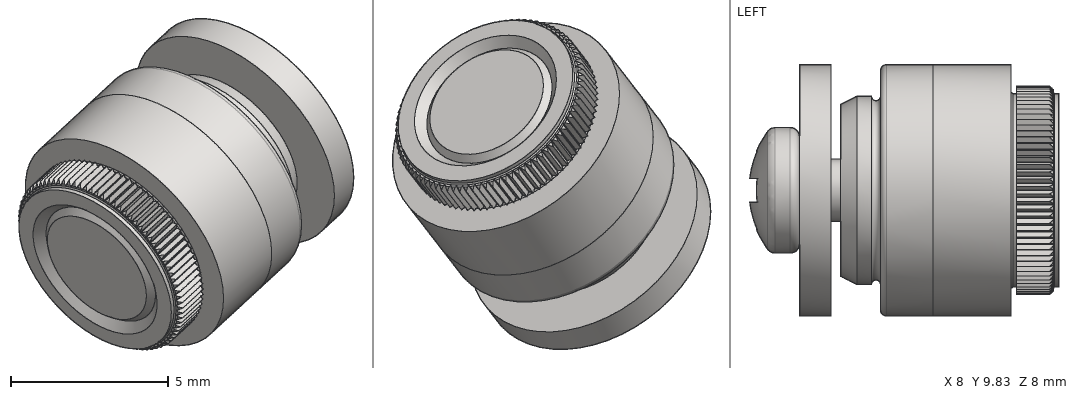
import cadquery as cq
import math

overall_length = 9.83
flange_diameter = 8.0
flange_radius = flange_diameter / 2

lip_end = 0.14
knurl_start = 0.18
knurl_end = 1.35
neck_end = 1.46
sleeve_start = 1.51
flange_start = 4.0
flange_end = 5.67
collar_start = 5.96
collar_taper_start = 6.42
collar_end = 6.94

neck_radius = 6.15 / 2
neck_flare = 0.05
collar_radius = 6.0 / 2
collar_tip_radius = 2.73
flange_fillet = 0.2

tooth_count = 88
knurl_radius = 6.64 / 2
tooth_height = 0.16
tooth_base_width = 0.21
knurl_chamfer = 0.12

countersink_radius = 5.0 / 2
countersink_depth = 0.29
bore_radius = countersink_radius - countersink_depth
insert_tip_radius = 4.0 / 2
insert_tip = countersink_depth - (bore_radius - insert_tip_radius)

shank_radius = 2.0 / 2
shank_engagement = 2 * shank_radius
head_radius = 4.0 / 2
head_side_height = 0.92
dome_rise = 0.71
head_fillet = 0.3
slot_width = 0.75
slot_length = 2.5
slot_depth = 0.75
washer_thickness = 1.0

dome_radius = (head_radius**2 + dome_rise**2) / (2 * dome_rise)
slot_corner_radius = slot_width / math.sqrt(2)
apex_loss = dome_radius - math.sqrt(dome_radius**2 - slot_corner_radius**2)
head_height = head_side_height + dome_rise
head_seat = overall_length - head_height + apex_loss


def revolve_about_y(profile):
    """Turn a closed (radius, y) profile about the Y axis."""
    return profile.close().revolve(360, (0, 0, 0), (0, 1, 0))


def cylinder_along_y(radius, start, end):
    return cq.Workplane("XZ", origin=(0, start, 0)).circle(radius).extrude(start - end)


def make_knurl():
    """Toothed ring around the neck, chamfered at its front end."""
    pitch_angle = 2 * math.pi / tooth_count
    root_radius = knurl_radius - tooth_height
    half_base_angle = math.asin(tooth_base_width / 2 / root_radius)
    outline = []
    for tooth in range(tooth_count):
        crest_angle = (tooth + 0.5) * pitch_angle
        for radius, angle in (
            (root_radius, crest_angle - half_base_angle),
            (knurl_radius, crest_angle),
            (root_radius, crest_angle + half_base_angle),
        ):
            outline.append((radius * math.cos(angle), radius * math.sin(angle)))
    toothed = (
        cq.Workplane("XZ", origin=(0, knurl_start, 0))
        .polyline(outline)
        .close()
        .extrude(knurl_start - knurl_end)
    )
    blank = cylinder_along_y(knurl_radius, knurl_start, knurl_end)
    chamfered_blank = blank.faces("<Y").chamfer(knurl_chamfer)
    bore = cylinder_along_y(neck_radius, knurl_start, knurl_end)
    return toothed.intersect(chamfered_blank).cut(bore)


def make_sleeve():
    """Knurled sleeve with a countersunk bore."""
    flare_radius = neck_radius + neck_flare
    turned = revolve_about_y(
        cq.Workplane("XY")
        .moveTo(bore_radius, countersink_depth)
        .lineTo(countersink_radius, 0)
        .lineTo(neck_radius, 0)
        .lineTo(neck_radius, lip_end)
        .lineTo(flare_radius, knurl_start)
        .lineTo(flare_radius, knurl_end)
        .lineTo(neck_radius, knurl_end)
        .lineTo(neck_radius, neck_end)
        .lineTo(flare_radius, sleeve_start)
        .lineTo(flange_radius, sleeve_start)
        .lineTo(flange_radius, flange_start)
        .lineTo(bore_radius, flange_start)
    )
    return turned.union(make_knurl())


def make_insert():
    """Chamfered stud filling the sleeve, with a flange, undercut and tapered collar behind it."""
    undercut_radius = (collar_start - flange_end) / 2
    undercut_bottom = (collar_radius - undercut_radius, flange_end + undercut_radius)
    turned = revolve_about_y(
        cq.Workplane("XY")
        .moveTo(0, insert_tip)
        .lineTo(insert_tip_radius, insert_tip)
        .lineTo(bore_radius, countersink_depth)
        .lineTo(bore_radius, flange_start)
        .lineTo(flange_radius, flange_start)
        .lineTo(flange_radius, flange_end - flange_fillet)
        .radiusArc((flange_radius - flange_fillet, flange_end), -flange_fillet)
        .lineTo(collar_radius, flange_end)
        .threePointArc(undercut_bottom, (collar_radius, collar_start))
        .lineTo(collar_radius, collar_taper_start)
        .lineTo(collar_tip_radius, collar_end)
        .lineTo(0, collar_end)
    )
    shank_hole = cylinder_along_y(shank_radius, collar_end - shank_engagement, collar_end)
    return turned.cut(shank_hole)


def make_screw_head():
    """Domed head with crossed slots."""
    apex = head_seat + head_height
    dome_edge = head_seat + head_side_height
    mid_radius = head_radius / 2
    mid_height = apex - dome_radius + math.sqrt(dome_radius**2 - mid_radius**2)
    head = revolve_about_y(
        cq.Workplane("XY")
        .moveTo(0, head_seat)
        .lineTo(head_radius, head_seat)
        .lineTo(head_radius, dome_edge)
        .threePointArc((mid_radius, mid_height), (0, apex))
    )
    head = head.edges("%CIRCLE").fillet(head_fillet)
    slot_center = (0, apex - slot_depth / 2, 0)
    for length_x, length_z in ((slot_length, slot_width), (slot_width, slot_length)):
        head = head.cut(cq.Workplane("XY", origin=slot_center).box(length_x, slot_depth, length_z))
    return head


def make_screw():
    """Slotted head, washer and plain shank in one piece."""
    washer = cylinder_along_y(flange_radius, head_seat - washer_thickness, head_seat)
    shank = cylinder_along_y(shank_radius, collar_end - shank_engagement, head_seat)
    return make_screw_head().union(washer).union(shank)


sleeve = make_sleeve()
insert = make_insert()
screw = make_screw()

result = cq.Compound.makeCompound([sleeve.val(), insert.val(), screw.val()])